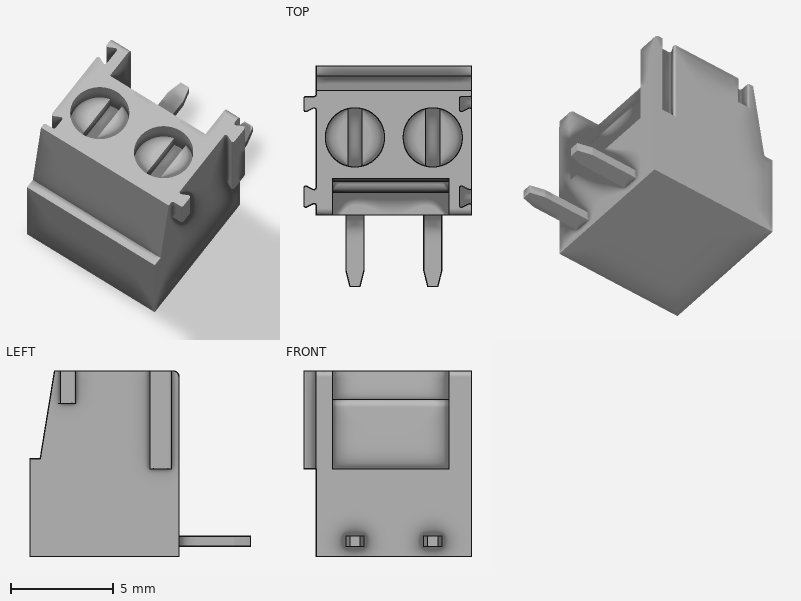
import cadquery as cq


pole_count = 2
pole_pitch = 3.81
pole_centres = [(i + 0.5) * pole_pitch for i in range(pole_count)]

housing_width = pole_count * pole_pitch
housing_depth = 7.3
housing_height = 9.1
back_ledge_height = 4.8
back_ledge_depth = 0.5
back_slope_run = 0.7
front_edge_radius = 0.3

pocket_left = 0.8
pocket_width = 5.7
pocket_floor = 4.3
pocket_top_depth = 1.8
step_height = 7.7
step_back_depth = 1.65
step_front_depth = 1.21
pocket_floor_depth = 1.1
step_radius = 0.4

screw_diameter = 2.9
screw_centre_y = 3.8
screw_depth = 1.05
slot_width = 0.7
slot_depth = 0.7

rail_projection = 0.6
rail_flank_run = 0.3
rail_radius = 0.1
front_rail_centre_y = 0.9
front_rail_tip_width = 1.17
front_rail_bottom = pocket_floor
back_rail_straight_y = 5.8
back_rail_tip_y = 5.0
back_rail_length = 1.6

pin_width = 0.9
pin_thickness = 0.5
pin_length = 3.5
pin_bottom = 0.5
pin_tip_width = 0.5
pin_taper_length = 0.8


def make_housing_block():
    back_slope_base = housing_depth - back_ledge_depth
    block = (
        cq.Workplane("YZ")
        .moveTo(0, 0)
        .lineTo(housing_depth, 0)
        .lineTo(housing_depth, back_ledge_height)
        .lineTo(back_slope_base, back_ledge_height)
        .lineTo(back_slope_base - back_slope_run, housing_height)
        .lineTo(0, housing_height)
        .close()
        .extrude(housing_width)
    )
    return block.edges("|X and <Y and >Z").fillet(front_edge_radius)


def make_pocket():
    pocket = (
        cq.Workplane("YZ")
        .moveTo(0, pocket_floor)
        .lineTo(pocket_floor_depth, pocket_floor)
        .lineTo(step_front_depth, step_height)
        .lineTo(step_back_depth, step_height)
        .lineTo(pocket_top_depth, housing_height)
        .lineTo(0, housing_height)
        .close()
        .extrude(pocket_width)
    )
    step_nose = cq.NearestToPointSelector((pocket_width / 2, step_front_depth, step_height))
    pocket = pocket.edges(step_nose).fillet(step_radius)
    return pocket.translate((pocket_left, 0, 0))


def make_screw_opening(x):
    """Round opening whose floor is a screw head with a driver slot across it."""
    screw_face = housing_height - screw_depth
    slot_floor = screw_face - slot_depth
    opening = (
        cq.Workplane("XY", origin=(x, screw_centre_y, slot_floor))
        .circle(screw_diameter / 2)
        .extrude(screw_depth + slot_depth)
    )
    half_face_width = (screw_diameter - slot_width) / 2
    half_face_offset = (slot_width + half_face_width) / 2
    screw_face_halves = (
        cq.Workplane("XY", origin=(x, screw_centre_y, slot_floor))
        .pushPoints([(-half_face_offset, 0), (half_face_offset, 0)])
        .rect(half_face_width, screw_diameter)
        .extrude(slot_depth)
    )
    return opening.cut(screw_face_halves)


def make_rail(outline, bottom):
    """Upright rail, up to the housing top, with its tip and root corners rounded.

    The outline runs from the front root to the back root. The rail is drawn together with
    a strip of the side wall, so that its root corners can be rounded, and then cut from it.
    """
    strip_margin = 2 * rail_radius
    rail_y = [y for _, y in outline]
    strip_front = min(rail_y) - strip_margin
    strip_back = max(rail_y) + strip_margin
    strip_outline = [
        (strip_margin, strip_front),
        (0, strip_front),
        *outline,
        (0, strip_back),
        (strip_margin, strip_back),
    ]
    rail_height = housing_height - bottom
    rail = cq.Workplane("XY", origin=(0, 0, bottom)).polyline(strip_outline).close().extrude(rail_height)
    for x, y in outline:
        corner = cq.NearestToPointSelector((x, y, bottom + rail_height / 2))
        rail = rail.edges("|Z").edges(corner).fillet(rail_radius)
    strip = cq.Workplane("XY", origin=(0, strip_front, bottom)).box(
        strip_margin, strip_back - strip_front, rail_height, centered=False
    )
    return rail.cut(strip)


def make_front_rail():
    tip_half = front_rail_tip_width / 2
    root_half = tip_half - rail_flank_run
    outline = [
        (0, front_rail_centre_y - root_half),
        (-rail_projection, front_rail_centre_y - tip_half),
        (-rail_projection, front_rail_centre_y + tip_half),
        (0, front_rail_centre_y + root_half),
    ]
    return make_rail(outline, front_rail_bottom)


def make_back_rail():
    outline = [
        (0, back_rail_tip_y + rail_flank_run),
        (-rail_projection, back_rail_tip_y),
        (-rail_projection, back_rail_straight_y),
        (0, back_rail_straight_y),
    ]
    return make_rail(outline, housing_height - back_rail_length)


def make_housing():
    housing = make_housing_block().cut(make_pocket())
    for x in pole_centres:
        housing = housing.cut(make_screw_opening(x))
    for rail in (make_front_rail(), make_back_rail()):
        housing = housing.union(rail)
        housing = housing.cut(rail.translate((housing_width, 0, 0)))
    return housing


def make_pin(x):
    """Flat pin standing on the front face, tapering to its tip."""
    half_width = pin_width / 2
    half_tip = pin_tip_width / 2
    taper_start = -(pin_length - pin_taper_length)
    return (
        cq.Workplane("XY", origin=(x, 0, pin_bottom))
        .moveTo(-half_width, 0)
        .lineTo(-half_width, taper_start)
        .lineTo(-half_tip, -pin_length)
        .lineTo(half_tip, -pin_length)
        .lineTo(half_width, taper_start)
        .lineTo(half_width, 0)
        .close()
        .extrude(pin_thickness)
    )


housing = make_housing()
pins = [make_pin(x) for x in pole_centres]

result = cq.Compound.makeCompound([housing.val(), *(pin.val() for pin in pins)])